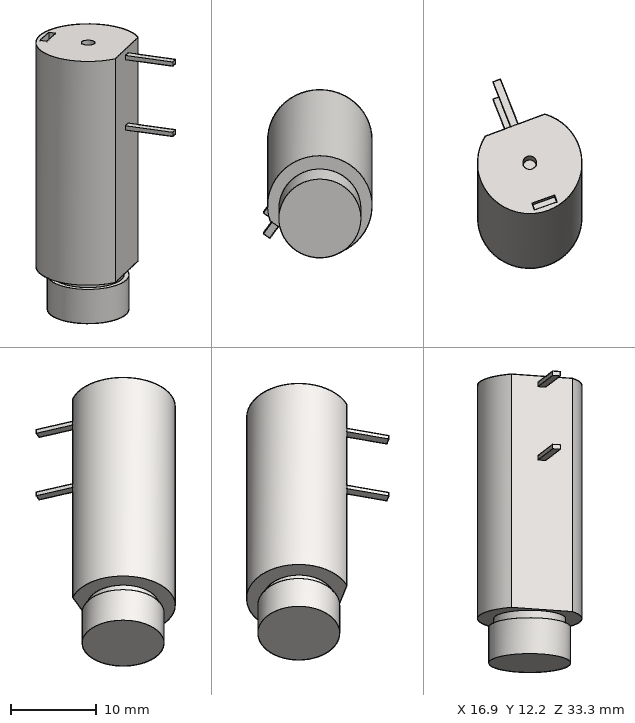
import cadquery as cq

total_height = 33.3
foot_height = 4.3
neck_height = 1.03
body_bottom = foot_height + neck_height
body_height = total_height - body_bottom

body_diameter = 12.2
body_radius = body_diameter / 2
neck_diameter = 8.4
foot_diameter = 9.55

flat_x = 4.83
side_angle = 0.8
pin_end_x = 16.85 - body_radius
pin_width = 0.93
pin_thickness = 0.53
pin_root = 0.33
top_pin_depth = 1.03
pin_spacing = 8.8

hole_diameter = 1.6
hole_depth = 2.0
slot_length = 2.8
slot_width = 0.85
slot_depth = 1.0
slot_x = -5.05


def cylinder(diameter, bottom, height):
    return cq.Workplane("XY").workplane(offset=bottom).circle(diameter / 2).extrude(height)


def turn_to_side(shape):
    return shape.rotate((0, 0, 0), (0, 0, 1), side_angle)


def pin(center_z):
    start_x = flat_x - pin_root
    return (
        cq.Workplane("XY")
        .box(pin_end_x - start_x, pin_width, pin_thickness, centered=(False, True, True))
        .translate((start_x, 0, center_z))
    )


beyond_flat = (
    cq.Workplane("XY")
    .box(body_diameter, body_diameter, body_height, centered=(False, True, False))
    .translate((flat_x, 0, body_bottom))
)
result = cylinder(body_diameter, body_bottom, body_height).cut(turn_to_side(beyond_flat))

result = result.union(cylinder(neck_diameter, foot_height, neck_height))
result = result.union(cylinder(foot_diameter, 0, foot_height))

top_pin_z = total_height - top_pin_depth
for center_z in (top_pin_z, top_pin_z - pin_spacing):
    result = result.union(turn_to_side(pin(center_z)))

result = result.cut(cylinder(hole_diameter, total_height - hole_depth, hole_depth))

slot = (
    cq.Workplane("XY")
    .box(slot_width, slot_length, slot_depth, centered=(True, True, False))
    .translate((slot_x, 0, total_height - slot_depth))
)
result = result.cut(slot)